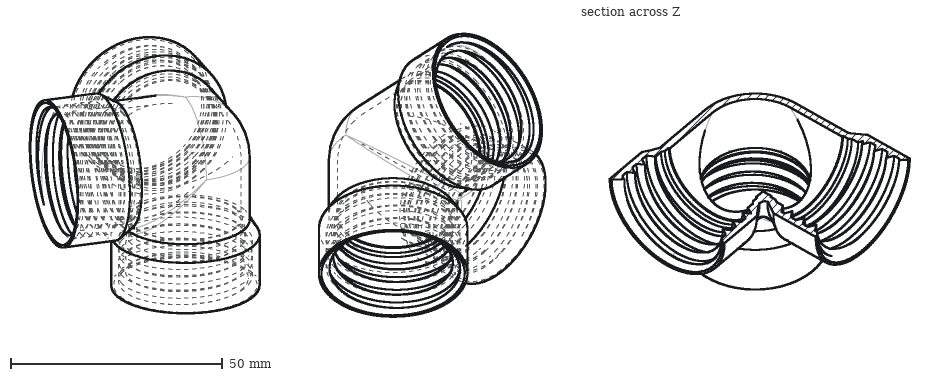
import cadquery as cq
import math

overall_size = 50.55
socket_dia = 35.25
socket_radius = socket_dia / 2
mouth_distance = overall_size - socket_radius

pipe_radius = 15.25
taper_length = 3.85
socket_length = 12.95
socket_length_x = 12.1
crotch_fillet = 1.6

bore_radius = 26.4 / 2
seat_radius = 27.05 / 2
relief_radius = 28.05 / 2
root_radius = 31.75 / 2
mouth_radius = 17.0
lead_in_depth = 2.8
root_end = 11.95
relief_start = 12.95
relief_end = 14.85
seat_start = 15.65
seat_end = 17.15

pitch = 3.7
flank_angle = 30.0
crest_radius = 14.15
crest_width = 0.1
ridge_embed = 0.25
thread_start = -0.65
thread_stop = 13.4
start_angle = -137.0


def along_x(shape):
    """Turn a shape built along -Z to lie along -X."""
    return shape.rotate((0, 0, 0), (0, 1, 0), 90)


def along_y(shape):
    """Turn a shape built along -Z to lie along -Y."""
    return shape.rotate((0, 0, 0), (1, 0, 0), -90)


def along_z(shape):
    """Leave a shape built along -Z where it is."""
    return shape


arms = ((along_x, socket_length_x), (along_y, socket_length), (along_z, socket_length))


def turned(points):
    """Revolve a closed outline of (radius, depth from the mouth) points into a -Z arm."""
    outline = [(radius, depth - mouth_distance) for radius, depth in points]
    return cq.Workplane("XZ").polyline(outline).close().revolve(360, (0, 0), (0, 1))


def three_pipes(radius, length):
    """Ball at the origin with a round arm along each of -X, -Y and -Z."""
    body = cq.Workplane("XY").sphere(radius)
    arm = cq.Workplane("XY").circle(radius).extrude(-length)
    for place, _ in arms:
        body = body.union(place(arm))
    return body


def socket(length):
    """Solid socket; its taper runs on inside the pipe so that the two surfaces cross cleanly."""
    hidden_radius = 2 * pipe_radius - socket_radius
    taper_end = length + 2 * taper_length
    return turned([
        (0, 0), (socket_radius, 0), (socket_radius, length),
        (hidden_radius, taper_end), (0, taper_end),
    ])


def thread_ridge():
    """Helical ridge with a truncated V section, in place in the -Z arm."""
    base_radius = root_radius + ridge_embed
    half_crest = crest_width / 2
    half_base = half_crest + (base_radius - crest_radius) * math.tan(math.radians(flank_angle))
    section = cq.Workplane("XZ").polyline([
        (base_radius, -half_base), (base_radius, half_base),
        (crest_radius, half_crest), (crest_radius, -half_crest),
    ]).close()
    helix = cq.Workplane(cq.Wire.makeHelix(pitch, thread_stop - thread_start, root_radius))
    ridge = section.sweep(helix, isFrenet=True)
    ridge = ridge.rotate((0, 0, 0), (0, 0, 1), start_angle)
    return ridge.translate((0, 0, thread_start - mouth_distance))


def socket_cavity():
    """Space inside one socket: stepped bore less the thread, opened up by the lead-in cone."""
    stepped_bore = turned([
        (0, 0), (root_radius, 0), (root_radius, root_end),
        (relief_radius, relief_start), (relief_radius, relief_end),
        (seat_radius, seat_start), (seat_radius, seat_end), (0, seat_end),
    ])
    lead_in = turned([
        (0, 0), (mouth_radius, 0), (relief_radius, lead_in_depth), (0, lead_in_depth),
    ])
    return stepped_bore.cut(thread_ridge()).union(lead_in)


result = three_pipes(pipe_radius, mouth_distance - taper_length)
result = result.edges("%ELLIPSE").fillet(crotch_fillet)
for place, length in arms:
    result = result.union(place(socket(length)))

cavity = socket_cavity()
for place, _ in arms:
    result = result.cut(place(cavity))
result = result.cut(three_pipes(bore_radius, mouth_distance))